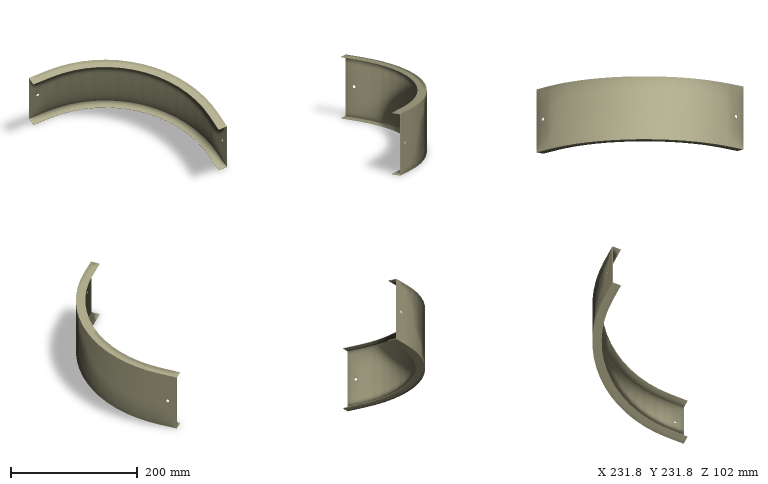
import cadquery as cq

side = 231.8
height = 102.0
sheet = 0.8
flange_width = 14.8
straight_length = 31.0
hole_diameter = 5.0
hole_from_end = 15.3

half_side = side / 2
outer_radius = side - straight_length


def bent_strip(width, depth):
    """Solid following the bend, measured inward from the outer face, centred on Z = 0."""
    inner_radius = outer_radius - width
    tangent = outer_radius - half_side
    diagonal = 0.5 ** 0.5
    outer_middle = tangent - outer_radius * diagonal
    inner_middle = tangent - inner_radius * diagonal
    return (
        cq.Workplane("XY", origin=(0, 0, -depth / 2))
        .moveTo(-half_side, -half_side)
        .lineTo(-half_side, -tangent)
        .threePointArc((outer_middle, -outer_middle), (tangent, half_side))
        .lineTo(half_side, half_side)
        .lineTo(half_side, half_side - width)
        .lineTo(tangent, half_side - width)
        .threePointArc((inner_middle, -inner_middle), (width - half_side, -tangent))
        .lineTo(width - half_side, -half_side)
        .close()
        .extrude(depth)
    )


wall = bent_strip(sheet, height)
channel = bent_strip(flange_width, height).cut(bent_strip(flange_width, height - 2 * sheet)).union(wall)

hole_position = half_side - hole_from_end
hole_radius = hole_diameter / 2
drill_length = 2 * flange_width
y_hole = cq.Workplane(
    cq.Solid.makeCylinder(
        hole_radius,
        drill_length,
        cq.Vector(hole_position, half_side - flange_width, 0),
        cq.Vector(0, 1, 0),
    )
)
x_hole = cq.Workplane(
    cq.Solid.makeCylinder(
        hole_radius,
        drill_length,
        cq.Vector(flange_width - half_side, -hole_position, 0),
        cq.Vector(-1, 0, 0),
    )
)

result = channel.cut(y_hole).cut(x_hole)